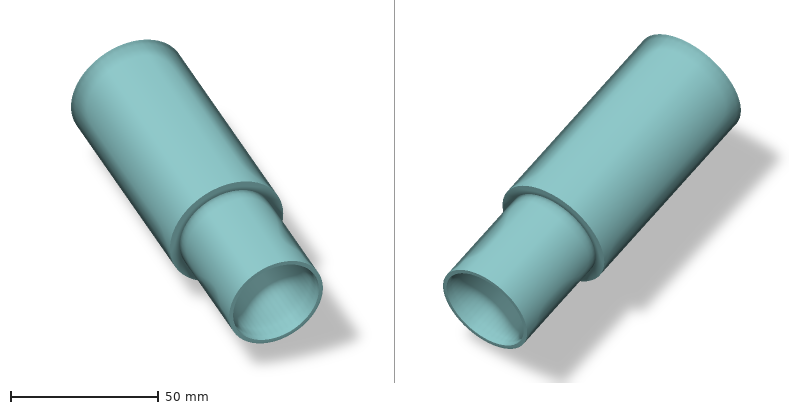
import cadquery as cq

total_length = 120.0
sleeve_diameter = 42.4
spigot_diameter = 35.0
bore_diameter = 32.0

sleeve_length = total_length * 2 / 3


def cylinder_along_x(diameter, length):
    return cq.Workplane("YZ").circle(diameter / 2).extrude(length)


sleeve = cylinder_along_x(sleeve_diameter, sleeve_length)
spigot = cylinder_along_x(spigot_diameter, total_length)
bore = cylinder_along_x(bore_diameter, total_length)

result = sleeve.union(spigot).cut(bore)